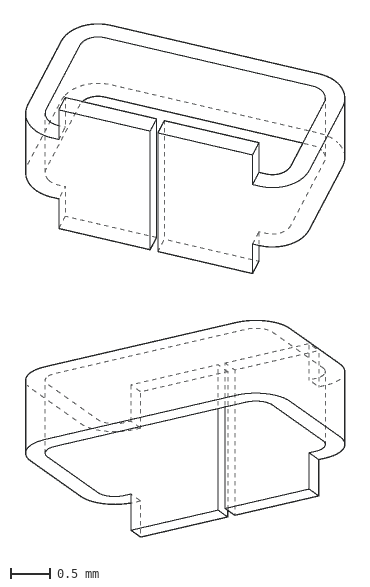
import cadquery as cq

length = 3.81
depth = 2.29
band_height = 1.017
wall = 0.25
outer_radius = 0.5
inner_radius = outer_radius - wall

plate_height = 2.03
plates_width = 2.62
slit_width = 0.103
slit_center_x = -0.023

front_y = -depth / 2


def rounded_block(size_x, size_y, radius):
    """Block of band height, centred on the origin, with rounded upright edges."""
    return cq.Workplane("XY").box(size_x, size_y, band_height).edges("|Z").fillet(radius)


outside = rounded_block(length, depth, outer_radius)
opening = rounded_block(length - 2 * wall, depth - 2 * wall, inner_radius)
band = outside.cut(opening)

front_wall_y = front_y + wall / 2
panel = cq.Workplane("XY").box(plates_width, wall, plate_height).translate((0, front_wall_y, 0))

slit = (
    cq.Workplane("XY")
    .box(slit_width, wall, plate_height)
    .translate((slit_center_x, front_wall_y, 0))
)

result = band.union(panel).cut(slit)